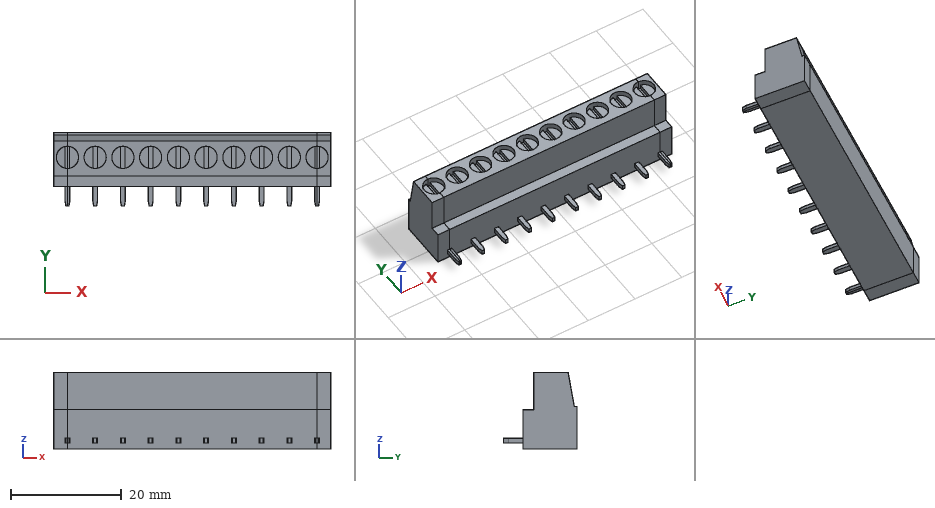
import cadquery as cq


pole_count = 10
pitch = 5.0
length = pole_count * pitch
end_length = pitch / 2
centre_length = length - 2 * end_length

depth = 9.8
height = 13.8
front_ledge_depth = 1.95
front_ledge_height = 7.1
back_ledge_depth = 0.5
back_ledge_height = 7.7
back_slope_run = 1.1

well_diameter = 4.0
well_depth = 1.05
well_y = 5.3
slot_width = 0.8
slot_depth = 0.8

pin_width = 0.9
pin_height = 0.9
pin_length = 3.5
pin_z = 1.5
tip_width = 0.55
tip_length = 0.9


def housing_bar(x_start, bar_length):
    """Stepped housing profile extruded along X from x_start."""
    back_slope_bottom = depth - back_ledge_depth
    profile = [
        (0, 0),
        (depth, 0),
        (depth, back_ledge_height),
        (back_slope_bottom, back_ledge_height),
        (back_slope_bottom - back_slope_run, height),
        (front_ledge_depth, height),
        (front_ledge_depth, front_ledge_height),
        (0, front_ledge_height),
    ]
    return (
        cq.Workplane("YZ", origin=(x_start, 0, 0))
        .polyline(profile)
        .close()
        .extrude(bar_length)
    )


def screw_well(x):
    """Cutter for one round well and the slot across its floor."""
    floor_z = height - well_depth
    slot_bottom_z = floor_z - slot_depth
    radius = well_diameter / 2
    well = cq.Workplane("XY", origin=(x, well_y, floor_z)).circle(radius).extrude(well_depth)
    slot_disc = cq.Workplane("XY", origin=(x, well_y, slot_bottom_z)).circle(radius).extrude(slot_depth)
    slot_bar = (
        cq.Workplane("XY", origin=(x, well_y, slot_bottom_z))
        .rect(slot_width, well_diameter)
        .extrude(slot_depth)
    )
    return well.union(slot_disc.intersect(slot_bar))


def pin(x):
    """One pin, reaching from the front face toward -Y."""
    half_width = pin_width / 2
    half_tip = tip_width / 2
    taper_start = tip_length - pin_length
    outline = [
        (-half_width, 0),
        (-half_width, taper_start),
        (-half_tip, -pin_length),
        (half_tip, -pin_length),
        (half_width, taper_start),
        (half_width, 0),
    ]
    return (
        cq.Workplane("XY", origin=(x, 0, pin_z - pin_height / 2))
        .polyline(outline)
        .close()
        .extrude(pin_height)
    )


def section(x_start, section_length):
    """The stretch of the terminal block between two joint planes, as one solid."""
    x_end = x_start + section_length
    body = housing_bar(x_start, section_length)
    slab = (
        cq.Workplane("XY", origin=((x_start + x_end) / 2, 0, 0))
        .box(section_length, 2 * (depth + pin_length), 2 * height)
    )
    for x in pole_positions:
        if x_start - pitch / 2 < x < x_end + pitch / 2:
            body = body.cut(screw_well(x)).union(pin(x).intersect(slab))
    return body.solids()


pole_positions = [(i - (pole_count - 1) / 2) * pitch for i in range(pole_count)]

left_end = section(-length / 2, end_length)
centre = section(-centre_length / 2, centre_length)
right_end = section(centre_length / 2, end_length)

result = cq.Compound.makeCompound([left_end.val(), centre.val(), right_end.val()])